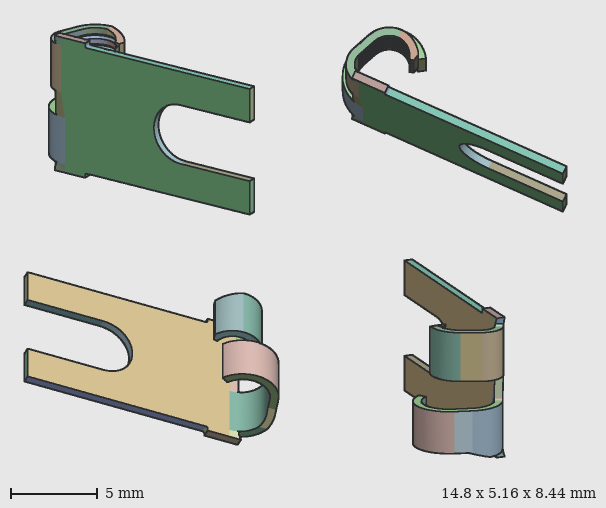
import cadquery as cq
import math

sheet = 0.5
length = 14.79
plate_half_height = 3.93
fork_width = 3.67
fork_bottom_x = 8.2

tab_half_height = 4.22
tab_left_x = 1.35
tab_right_x = 3.45
corner_fillet = 0.13
fillet_inset = corner_fillet * (1 - math.sqrt(0.5))

bent_end_x = 1.32
bent_end_lean = 20.0
rough_end_x = bent_end_x - sheet / 2

barrel_inner_z = 0.77
barrel_outer_z = 3.71

large_base_radius = 2.05
large_lean = 15.0
large_wall_top_y = 3.61
large_height = 5.16
large_tip_angle = 33.0
relief_start_y = 1.45
relief_end_y = 2.8
relief_depth = 0.4

small_left_x = 0.5
small_base_radius = 1.29
small_lean = 22.4
small_wall_top_y = 2.9
small_height = 4.0
small_tip_radius = 1.63
small_tip_angle = 14.5
tip_corner_angle = 28.2
tip_corner_depth = 0.25
tip_taper_angle = 15.0

groove_count = 4
groove_pitch = 0.62
groove_depth = 0.15


def polar(center, radius, degrees):
    """Point at a given angle on a circle."""
    angle = math.radians(degrees)
    return (center[0] + radius * math.cos(angle), center[1] + radius * math.sin(angle))


def barrel_shape(left_x, base_radius, lean, wall_top_y, height, tip_radius=None):
    """Centres and outer radii of the bends, each tangent to the stretch before it."""
    base_center = (left_x + base_radius, base_radius)
    wall_bottom = polar(base_center, base_radius, 180 - lean)
    rise = wall_top_y - wall_bottom[1]
    wall_top_x = wall_bottom[0] + rise * math.tan(math.radians(lean))
    top_radius = (height - wall_top_y) / (1 - math.sin(math.radians(lean)))
    top_center = (wall_top_x + top_radius * math.cos(math.radians(lean)), height - top_radius)
    tip_radius = tip_radius or top_radius
    return {
        "base_center": base_center,
        "base_radius": base_radius,
        "lean": lean,
        "top_center": top_center,
        "top_radius": top_radius,
        "tip_center": (top_center[0], height - tip_radius),
        "tip_radius": tip_radius,
    }


def barrel_outline(shape, tip_angle):
    """Closed outline of the bent strip, from the flat plate round to its radial tip."""
    base, top, tip = shape["base_center"], shape["top_center"], shape["tip_center"]
    base_out, top_out, tip_out = shape["base_radius"], shape["top_radius"], shape["tip_radius"]
    base_in, top_in, tip_in = base_out - sheet, top_out - sheet, tip_out - sheet
    wall = 180 - shape["lean"]
    base_mid = (wall + 270) / 2
    top_mid = (wall + 90) / 2
    tip_mid = (90 + tip_angle) / 2
    return (
        cq.Workplane("XY")
        .moveTo(tab_right_x, 0)
        .lineTo(base[0], 0)
        .threePointArc(polar(base, base_out, base_mid), polar(base, base_out, wall))
        .lineTo(*polar(top, top_out, wall))
        .threePointArc(polar(top, top_out, top_mid), polar(top, top_out, 90))
        .threePointArc(polar(tip, tip_out, tip_mid), polar(tip, tip_out, tip_angle))
        .lineTo(*polar(tip, tip_in, tip_angle))
        .threePointArc(polar(tip, tip_in, tip_mid), polar(tip, tip_in, 90))
        .threePointArc(polar(top, top_in, top_mid), polar(top, top_in, wall))
        .lineTo(*polar(base, base_in, wall))
        .threePointArc(polar(base, base_in, base_mid), (base[0], sheet))
        .lineTo(tab_right_x, sheet)
        .close()
    )


def bent_section(shape, z):
    """Start of a barrel bend, left a little long for trimming."""
    center, outer = shape["base_center"], shape["base_radius"]
    inner = outer - sheet
    end = 180 + math.degrees(math.acos((center[0] - rough_end_x) / outer))
    middle = (end + 270) / 2
    return (
        cq.Workplane("XY", origin=(0, 0, z))
        .moveTo(tab_right_x, 0)
        .lineTo(center[0], 0)
        .threePointArc(polar(center, outer, middle), polar(center, outer, end))
        .lineTo(*polar(center, inner, end))
        .threePointArc(polar(center, inner, middle), (center[0], sheet))
        .lineTo(tab_right_x, sheet)
        .close()
        .wires()
        .val()
    )


def flat_section(shape, z):
    """Flat counterpart of the bent section, with matching corners."""
    bend_x = shape["base_center"][0]
    corners = [
        (tab_right_x, 0),
        (bend_x, 0),
        (rough_end_x, 0),
        (rough_end_x, sheet),
        (bend_x, sheet),
        (tab_right_x, sheet),
    ]
    return cq.Workplane("XY", origin=(0, 0, z)).polyline(corners).close().wires().val()


def blend(first, second):
    """Solid with ruled sides between two outlines."""
    return cq.Workplane(obj=cq.Solid.makeLoft([first, second], True))


def trim_wire(y, start_x, start_z, end_x, end_z, end_is_barrel):
    """Outline at one depth of the waste left of an end face, rounded beside each barrel."""
    radius, inset = corner_fillet, fillet_inset
    waste_x = bent_end_x - 2 * sheet
    outline = (
        cq.Workplane("XZ", origin=(0, y, 0))
        .moveTo(waste_x, start_z)
        .lineTo(start_x - radius, start_z)
        .threePointArc((start_x - inset, start_z + inset), (start_x, start_z + radius))
    )
    if end_is_barrel:
        outline = (
            outline.lineTo(end_x, end_z - radius)
            .threePointArc((end_x - inset, end_z - inset), (end_x - radius, end_z))
        )
    else:
        outline = outline.lineTo(end_x, end_z)
    return outline.lineTo(waste_x, end_z).close().wires().val()


def lean_positions():
    """Depth and x of the leaning end face, at y = 0 and well behind the sheet."""
    depth = 2 * sheet
    lean_shift = depth * math.tan(math.radians(bent_end_lean))
    return [(0, bent_end_x), (depth, bent_end_x + lean_shift)]


def bridge_trim():
    """Waste beside the bridge, whose end face leans with the bends on both sides."""
    wires = [
        trim_wire(y, x, -barrel_inner_z, x, barrel_inner_z, True)
        for y, x in lean_positions()
    ]
    return blend(*wires)


def tab_trim():
    """Waste beside the upper tab, whose end face turns from leaning to square."""
    wires = [
        trim_wire(y, x, barrel_outer_z, tab_left_x, tab_half_height, False)
        for y, x in lean_positions()
    ]
    return blend(*wires)


def plate():
    """Fork plate whose left shoulders run into the tabs with small concave fillets."""
    slot_radius = fork_width / 2
    fillet_x = tab_right_x + corner_fillet
    fillet_z = plate_half_height + corner_fillet
    inset = fillet_inset
    return (
        cq.Workplane("XZ")
        .moveTo(length, plate_half_height)
        .lineTo(fillet_x, plate_half_height)
        .threePointArc((tab_right_x + inset, plate_half_height + inset), (tab_right_x, fillet_z))
        .lineTo(tab_right_x, -fillet_z)
        .threePointArc((tab_right_x + inset, -plate_half_height - inset), (fillet_x, -plate_half_height))
        .lineTo(length, -plate_half_height)
        .lineTo(length, -slot_radius)
        .lineTo(fork_bottom_x + slot_radius, -slot_radius)
        .threePointArc((fork_bottom_x, 0), (fork_bottom_x + slot_radius, slot_radius))
        .lineTo(length, slot_radius)
        .close()
        .extrude(-sheet)
    )


def large_barrel(shape):
    """Lower barrel with its stepped-up lower edge."""
    strip = (
        barrel_outline(shape, large_tip_angle)
        .extrude(barrel_outer_z - barrel_inner_z)
        .translate((0, 0, -barrel_outer_z))
    )
    raised_z = relief_depth - barrel_outer_z
    relief = (
        cq.Workplane("YZ")
        .polyline([
            (relief_start_y, -barrel_outer_z),
            (relief_end_y, raised_z),
            (large_height, raised_z),
            (large_height, -barrel_outer_z),
        ])
        .close()
        .extrude(length)
    )
    return strip.cut(relief)


def groove(shape, z):
    """Cutter for a V groove along the inner face of the straight wall and the bends above it."""
    top, tip = shape["top_center"], shape["tip_center"]
    top_in, tip_in = shape["top_radius"] - sheet, shape["tip_radius"] - sheet
    wall = 180 - shape["lean"]
    lean = math.radians(shape["lean"])
    start = polar(shape["base_center"], shape["base_radius"] - sheet, wall)
    path = (
        cq.Workplane("XY", origin=(0, 0, z))
        .moveTo(*start)
        .lineTo(*polar(top, top_in, wall))
        .threePointArc(polar(top, top_in, (wall + 90) / 2), polar(top, top_in, 90))
        .threePointArc(polar(tip, tip_in, 45), polar(tip, tip_in, 0))
    )
    along_wall = (math.sin(lean), math.cos(lean), 0)
    into_wall = (-math.cos(lean), math.sin(lean), 0)
    section = cq.Workplane(cq.Plane(origin=(*start, z), xDir=into_wall, normal=along_wall))
    half_base = 2 * groove_depth
    corners = [(groove_depth, 0), (-groove_depth, half_base), (-groove_depth, -half_base)]
    return section.polyline(corners).close().sweep(path)


def small_barrel(shape):
    """Upper barrel with a bevelled, tapered tip and grooves inside."""
    strip = (
        barrel_outline(shape, small_tip_angle)
        .extrude(barrel_outer_z - barrel_inner_z)
        .translate((0, 0, barrel_inner_z))
    )
    tip, outer = shape["tip_center"], shape["tip_radius"]

    bevel_top = polar(tip, outer, tip_corner_angle)
    bevel_bottom = polar(tip, outer - tip_corner_depth, small_tip_angle)
    clearance = (bevel_top[0] + sheet, bevel_bottom[1])
    bevel = (
        cq.Workplane("XY")
        .polyline([bevel_top, bevel_bottom, clearance])
        .close()
        .extrude(barrel_outer_z)
    )

    taper_drop = outer * math.tan(math.radians(tip_taper_angle))
    taper = (
        cq.Workplane("XZ")
        .polyline([
            (tip[0], barrel_outer_z),
            (tip[0] + outer, barrel_outer_z),
            (tip[0] + outer, barrel_outer_z - taper_drop),
        ])
        .close()
        .extrude(-small_height)
        .translate((0, sheet, 0))
    )
    strip = strip.cut(bevel).cut(taper)

    middle_z = (barrel_inner_z + barrel_outer_z) / 2
    for index in range(groove_count):
        offset = (index - (groove_count - 1) / 2) * groove_pitch
        strip = strip.cut(groove(shape, middle_z + offset))
    return strip


large = barrel_shape(0, large_base_radius, large_lean, large_wall_top_y, large_height)
small = barrel_shape(
    small_left_x, small_base_radius, small_lean, small_wall_top_y, small_height, small_tip_radius
)

bridge = blend(bent_section(large, -barrel_inner_z), bent_section(small, barrel_inner_z))
bridge = bridge.cut(bridge_trim())
upper_tab = blend(bent_section(small, barrel_outer_z), flat_section(small, tab_half_height))
upper_tab = upper_tab.cut(tab_trim())
lower_tab = blend(flat_section(large, -tab_half_height), bent_section(large, -barrel_outer_z))
lower_tab = lower_tab.cut(tab_trim().mirror("XY"))

result = plate()
for piece in (bridge, lower_tab, upper_tab, large_barrel(large), small_barrel(small)):
    result = result.union(piece)